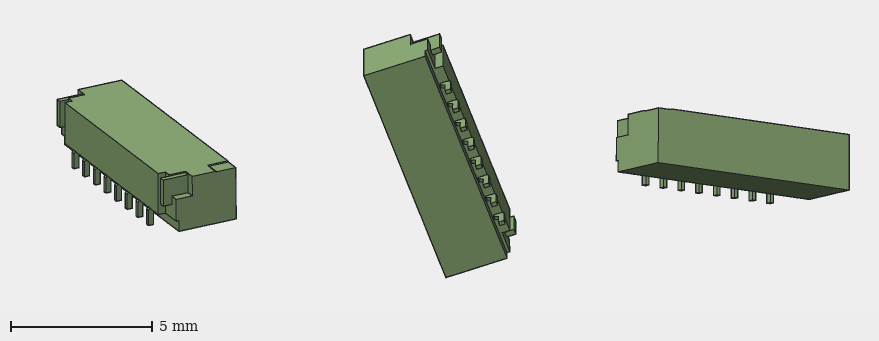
import cadquery as cq


overall_length = 8.6
side_taper = 0.035
left_x = -(overall_length - side_taper) / 2
right_x = left_x + overall_length
right_top_x = right_x - side_taper
body_height = 2.0
body_depth = 2.7
ear_depth = 2.41
base_depth = 2.305
base_height = 0.41
ear_width = 0.78

notch_back_y = -1.755
notch_depth = 0.75
tab_width = 0.21
tab_inset = 0.3
notch_width = tab_inset + tab_width
tab_drop = 0.05
tab_top_z = body_height - tab_drop
tab_height = 1.015
front_y = -2.75

mark_length = 0.6
mark_width = 0.8
mark_depth = 0.03
mark_slope = 0.05

pin_count = 8
pin_pitch = 0.8
pin_width = 0.15
pin_bottom_z = -0.25
pin_leg = 0.21
pin_back_y = -2.36
pin_back_z = 0.33
pin_heel_z = 0.19
pin_chamfer_y = 0.05
pin_chamfer_z = 0.08


def box(x0, x1, y0, y1, z0, z1):
    """Box spanning the given coordinate limits."""
    return cq.Workplane("XY").box(x1 - x0, y1 - y0, z1 - z0, centered=False).translate((x0, y0, z0))


def make_housing():
    """Block with one tapered end, set back at the ears and above the pins."""
    housing = (
        cq.Workplane("XZ")
        .polyline([(left_x, 0), (right_x, 0), (right_top_x, body_height), (left_x, body_height)])
        .close()
        .extrude(body_depth)
    )
    housing = housing.cut(box(left_x, right_x, -body_depth, -base_depth, 0, base_height))
    for x0, x1 in ((left_x, left_x + ear_width), (right_top_x - ear_width, right_x)):
        housing = housing.cut(box(x0, x1, -body_depth, -ear_depth, 0, body_height))
    return housing


def cut_notches(housing):
    """Open the top front of both ends down to a shelf."""
    shelf_z = body_height - notch_depth
    for x0, x1 in ((left_x, left_x + notch_width), (right_top_x - notch_width, right_x)):
        housing = housing.cut(box(x0, x1, -ear_depth, notch_back_y, shelf_z, body_height))
    return housing


def cut_mark(housing):
    """Sink the corner mark, with its -X wall sloping down to the floor."""
    start_x = right_top_x - mark_length
    floor_z = body_height - mark_depth
    mark = (
        cq.Workplane("XZ")
        .polyline([
            (start_x, body_height),
            (start_x + mark_slope, floor_z),
            (right_x, floor_z),
            (right_x, body_height),
        ])
        .close()
        .extrude(mark_width)
    )
    return housing.cut(mark)


def make_tab(x0):
    """Upright solder tab whose -X face is at x0."""
    return box(x0, x0 + tab_width, front_y, notch_back_y, tab_top_z - tab_height, tab_top_z)


def make_pin(x):
    """Pin centred on x: a shoulder under the front wall, turning down into a leg."""
    leg_back_y = front_y + pin_leg
    return (
        cq.Workplane("YZ")
        .polyline([
            (pin_back_y, base_height),
            (pin_back_y, pin_back_z),
            (leg_back_y, pin_heel_z),
            (leg_back_y, pin_bottom_z),
            (front_y, pin_bottom_z),
            (front_y, base_height - pin_chamfer_z),
            (front_y + pin_chamfer_y, base_height),
        ])
        .close()
        .extrude(pin_width / 2, both=True)
        .translate((x, 0, 0))
    )


result = cut_mark(cut_notches(make_housing()))
for tab_x in (left_x + tab_inset, right_top_x - notch_width):
    result = result.union(make_tab(tab_x))
for index in range(pin_count):
    result = result.union(make_pin((index - (pin_count - 1) / 2) * pin_pitch))